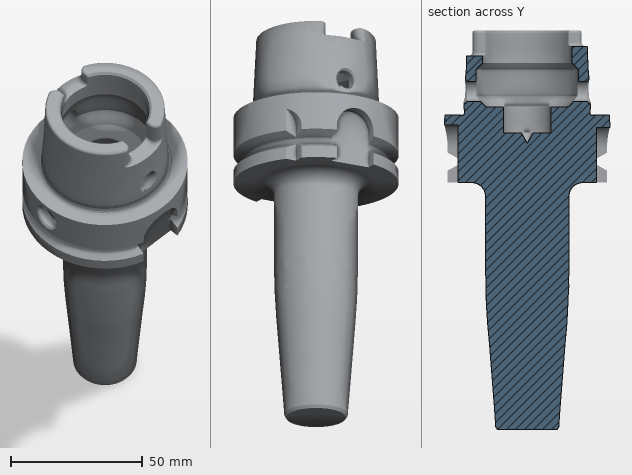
import cadquery as cq
import math


FLANGE_RADIUS = 31.5
FLANGE_BOTTOM_Z = -26.0
GROOVE_CENTRE_Z = -18.0
GROOVE_FLOOR_RADIUS = 27.5
GROOVE_HALF_MOUTH = 3.4
GROOVE_FLANK_ANGLE = 30.0
GROOVE_FLOOR_FILLET = 0.7

SHANK_TOP_Z = 31.9
TAPER_GAUGE_RADIUS = 24.0
TAPER_GAUGE_Z = 6.3
TAPER_SLOPE = 0.05
SHANK_TOP_FILLET = 1.0
RELIEF_TOP_Z = 2.2
RELIEF_RADIUS = 23.95
RELIEF_STEP = 0.5
FACE_RELIEF_DEPTH = 0.3
FACE_RELIEF_RADIUS = 25.5

NOSE_RADIUS = 16.0
NOSE_ROOT_FILLET = 5.0
NOSE_TIP_Z = -120.0
NOSE_TIP_RADIUS = 12.0
NOSE_TAPER_ANGLE = 4.5
NOSE_BLEND_LENGTH = 10.8
NOSE_TIP_CHAMFER_WIDTH = 0.6
NOSE_TIP_CHAMFER_HEIGHT = 1.2

BORE_RADIUS = 17.0
BORE_CHAMFER = 0.8
CLAMP_LIP_Z = 19.5
CLAMP_GROOVE_RADIUS = 19.5
BORE_FLOOR_Z = 3.0
BORE_FLOOR_RIM_RADIUS = 15.8
BORE_FLOOR_CONE_TOP_Z = 7.0
COOLANT_BORE_RADIUS = 9.0
COOLANT_BORE_CHAMFER = 0.25
COOLANT_BORE_DEPTH = 10.0
CENTRE_CONE_RADIUS = 2.2
CENTRE_CONE_ANGLE = 60.0

DRIVE_SLOT_HALF_WIDTH = 6.27
DRIVE_SLOT_FLARE_X = 20.8
DRIVE_SLOT_CORNER_RADIUS = 2.8
DRIVE_SLOT_FLOOR_FILLET = 1.3
DRIVE_SLOT_FLOOR_Z = {-1: 26.0, 1: 22.3}

CROSS_HOLE_Z = 8.8
CROSS_HOLE_RADIUS = 3.75
CROSS_HOLE_MOUTH_RADIUS = 4.8

KEYWAY_FLOOR_X = 26.5
KEYWAY_ARC_CENTRE_Z = -13.0
KEYWAY_OVERSHOOT = 1.0
KEYWAY_HALF_WIDTH = {-1: 8.0, 1: 9.0}
NOTCH_FLOOR_X = 20.0
NOTCH_WALL_Y = 20.0
NOTCH_HALF_WIDTH = 8.0

CHIP_HOLE_Z = -6.9
CHIP_HOLE_RADIUS = 5.0
CHIP_HOLE_CHAMFER = 0.4
CHIP_HOLE_DEPTH = 4.6
CHIP_PILOT_RADIUS = 0.7
CHIP_PILOT_DEPTH = 1.0

CLEARANCE = 10.0


def taper_radius(z):
    return TAPER_GAUGE_RADIUS + TAPER_SLOPE * (TAPER_GAUGE_Z - z)


def revolve(profile):
    return profile.close().revolve(360, (0, 0, 0), (0, 1, 0))


def make_body():
    """Solid of revolution: shank, flange and nose, without bores."""
    taper = math.radians(NOSE_TAPER_ANGLE)
    nose_corner_z = NOSE_TIP_Z + (NOSE_RADIUS - NOSE_TIP_RADIUS) / math.tan(taper)
    blend_start = (NOSE_RADIUS, nose_corner_z + NOSE_BLEND_LENGTH)
    blend_end = (
        NOSE_RADIUS - NOSE_BLEND_LENGTH * math.sin(taper),
        nose_corner_z - NOSE_BLEND_LENGTH * math.cos(taper),
    )
    chamfer_top = (
        NOSE_TIP_RADIUS + NOSE_TIP_CHAMFER_HEIGHT * math.tan(taper),
        NOSE_TIP_Z + NOSE_TIP_CHAMFER_HEIGHT,
    )
    fillet_end_z = SHANK_TOP_Z - SHANK_TOP_FILLET
    return revolve(
        cq.Workplane("YZ")
        .moveTo(0, SHANK_TOP_Z)
        .lineTo(taper_radius(SHANK_TOP_Z) - SHANK_TOP_FILLET, SHANK_TOP_Z)
        .radiusArc((taper_radius(fillet_end_z), fillet_end_z), SHANK_TOP_FILLET)
        .lineTo(taper_radius(RELIEF_TOP_Z), RELIEF_TOP_Z)
        .lineTo(RELIEF_RADIUS, RELIEF_TOP_Z - RELIEF_STEP)
        .lineTo(RELIEF_RADIUS, RELIEF_STEP)
        .lineTo(RELIEF_RADIUS + RELIEF_STEP, -FACE_RELIEF_DEPTH)
        .lineTo(FACE_RELIEF_RADIUS - FACE_RELIEF_DEPTH, -FACE_RELIEF_DEPTH)
        .lineTo(FACE_RELIEF_RADIUS, 0)
        .lineTo(FLANGE_RADIUS, 0)
        .lineTo(FLANGE_RADIUS, FLANGE_BOTTOM_Z)
        .lineTo(NOSE_RADIUS + NOSE_ROOT_FILLET, FLANGE_BOTTOM_Z)
        .radiusArc((NOSE_RADIUS, FLANGE_BOTTOM_Z - NOSE_ROOT_FILLET), -NOSE_ROOT_FILLET)
        .lineTo(*blend_start)
        .tangentArcPoint(blend_end, relative=False)
        .lineTo(*chamfer_top)
        .lineTo(NOSE_TIP_RADIUS - NOSE_TIP_CHAMFER_WIDTH, NOSE_TIP_Z)
        .lineTo(0, NOSE_TIP_Z)
    )


def make_gripper_groove():
    """Ring with a trapezoid section and rounded floor corners."""
    slope = math.tan(math.radians(GROOVE_FLANK_ANGLE))
    half_floor = GROOVE_HALF_MOUTH - (FLANGE_RADIUS - GROOVE_FLOOR_RADIUS) * slope
    outer_radius = FLANGE_RADIUS + CLEARANCE
    half_outer = GROOVE_HALF_MOUTH + CLEARANCE * slope
    ring = revolve(
        cq.Workplane("YZ")
        .moveTo(GROOVE_FLOOR_RADIUS, GROOVE_CENTRE_Z + half_floor)
        .lineTo(outer_radius, GROOVE_CENTRE_Z + half_outer)
        .lineTo(outer_radius, GROOVE_CENTRE_Z - half_outer)
        .lineTo(GROOVE_FLOOR_RADIUS, GROOVE_CENTRE_Z - half_floor)
    )
    floor_edges = cq.selectors.RadiusNthSelector(0)
    return ring.edges("%CIRCLE").edges(floor_edges).fillet(GROOVE_FLOOR_FILLET)


def make_drive_slot(side):
    """Block from the axis outwards, less the two rounded lands that stay beside the slot."""
    outer = TAPER_GAUGE_RADIUS + CLEARANCE
    floor_z = DRIVE_SLOT_FLOOR_Z[side]
    height = SHANK_TOP_Z - floor_z
    land_width = 2 * outer
    land_centre_y = DRIVE_SLOT_HALF_WIDTH + land_width / 2
    block = (
        cq.Workplane("XY", origin=(side * outer / 2, 0, floor_z))
        .rect(outer, 2 * outer)
        .extrude(height + CLEARANCE)
    )
    lands = (
        cq.Workplane("XY", origin=(0, 0, floor_z))
        .pushPoints([(0, land_centre_y), (0, -land_centre_y)])
        .rect(2 * DRIVE_SLOT_FLARE_X, land_width)
        .extrude(height)
        .edges("|Z")
        .fillet(DRIVE_SLOT_CORNER_RADIUS)
        .faces(">Z")
        .edges()
        .fillet(SHANK_TOP_FILLET)
    )
    return block.cut(lands).faces("<Z").edges().fillet(DRIVE_SLOT_FLOOR_FILLET)


def make_bore():
    """Clamping bore, coolant bore and centre cone as one revolved cutter."""
    coolant_floor_z = BORE_FLOOR_Z - COOLANT_BORE_DEPTH
    point_z = coolant_floor_z - CENTRE_CONE_RADIUS / math.tan(math.radians(CENTRE_CONE_ANGLE / 2))
    lip_end_z = CLAMP_LIP_Z - (CLAMP_GROOVE_RADIUS - BORE_RADIUS)
    return revolve(
        cq.Workplane("YZ")
        .moveTo(0, SHANK_TOP_Z)
        .lineTo(BORE_RADIUS + BORE_CHAMFER, SHANK_TOP_Z)
        .lineTo(BORE_RADIUS, SHANK_TOP_Z - BORE_CHAMFER)
        .lineTo(BORE_RADIUS, CLAMP_LIP_Z)
        .lineTo(CLAMP_GROOVE_RADIUS, lip_end_z)
        .lineTo(CLAMP_GROOVE_RADIUS, BORE_FLOOR_CONE_TOP_Z)
        .lineTo(BORE_FLOOR_RIM_RADIUS, BORE_FLOOR_Z)
        .lineTo(COOLANT_BORE_RADIUS + COOLANT_BORE_CHAMFER, BORE_FLOOR_Z)
        .lineTo(COOLANT_BORE_RADIUS, BORE_FLOOR_Z - COOLANT_BORE_CHAMFER)
        .lineTo(COOLANT_BORE_RADIUS, coolant_floor_z)
        .lineTo(CENTRE_CONE_RADIUS, coolant_floor_z)
        .lineTo(0, point_z)
    )


def make_cross_hole():
    """Hole along X through both shank walls, countersunk at each mouth."""
    surface_x = taper_radius(CROSS_HOLE_Z)
    countersink = CROSS_HOLE_MOUTH_RADIUS - CROSS_HOLE_RADIUS
    hole = (
        cq.Workplane("YZ", origin=(0, 0, CROSS_HOLE_Z))
        .circle(CROSS_HOLE_RADIUS)
        .extrude(surface_x + CLEARANCE, both=True)
    )
    for side in (-1, 1):
        cone = cq.Solid.makeCone(
            CROSS_HOLE_MOUTH_RADIUS,
            CROSS_HOLE_RADIUS,
            countersink,
            pnt=cq.Vector(side * surface_x, 0, CROSS_HOLE_Z),
            dir=cq.Vector(-side, 0, 0),
        )
        hole = hole.union(cq.Workplane(cone))
    return hole


def make_round_ended_slot(side, floor_x, centre_y, half_width):
    """Slot cut along X into the flange, round at the top and open below."""
    bottom_z = FLANGE_BOTTOM_Z - KEYWAY_OVERSHOOT
    return (
        cq.Workplane("YZ", origin=(side * floor_x, 0, 0))
        .moveTo(centre_y - half_width, bottom_z)
        .lineTo(centre_y - half_width, KEYWAY_ARC_CENTRE_Z)
        .radiusArc((centre_y + half_width, KEYWAY_ARC_CENTRE_Z), half_width)
        .lineTo(centre_y + half_width, bottom_z)
        .close()
        .extrude(side * FLANGE_RADIUS)
    )


def make_chip_hole():
    """Chamfered blind hole with a small pilot in its floor."""
    floor_y = FLANGE_RADIUS - CHIP_HOLE_DEPTH
    rim_y = math.sqrt(FLANGE_RADIUS**2 - CHIP_HOLE_RADIUS**2)
    floor_plane = cq.Workplane("XZ", origin=(0, -floor_y, CHIP_HOLE_Z))
    hole = floor_plane.circle(CHIP_HOLE_RADIUS).extrude(CHIP_HOLE_DEPTH + CLEARANCE)
    pilot = floor_plane.circle(CHIP_PILOT_RADIUS).extrude(-CHIP_PILOT_DEPTH)
    cone = cq.Solid.makeCone(
        CHIP_HOLE_RADIUS,
        CHIP_HOLE_RADIUS + 2 * CHIP_HOLE_CHAMFER,
        2 * CHIP_HOLE_CHAMFER,
        pnt=cq.Vector(0, -(rim_y - CHIP_HOLE_CHAMFER), CHIP_HOLE_Z),
        dir=cq.Vector(0, -1, 0),
    )
    return hole.union(pilot).union(cq.Workplane(cone))


body = make_body().cut(make_gripper_groove())
for slot_side in (-1, 1):
    body = body.cut(make_drive_slot(slot_side))
body = body.cut(make_bore()).cut(make_cross_hole())
for key_side in (-1, 1):
    body = body.cut(make_round_ended_slot(key_side, KEYWAY_FLOOR_X, 0, KEYWAY_HALF_WIDTH[key_side]))
notch_centre_y = NOTCH_WALL_Y + NOTCH_HALF_WIDTH
body = body.cut(make_round_ended_slot(-1, NOTCH_FLOOR_X, notch_centre_y, NOTCH_HALF_WIDTH))
result = body.cut(make_chip_hole())